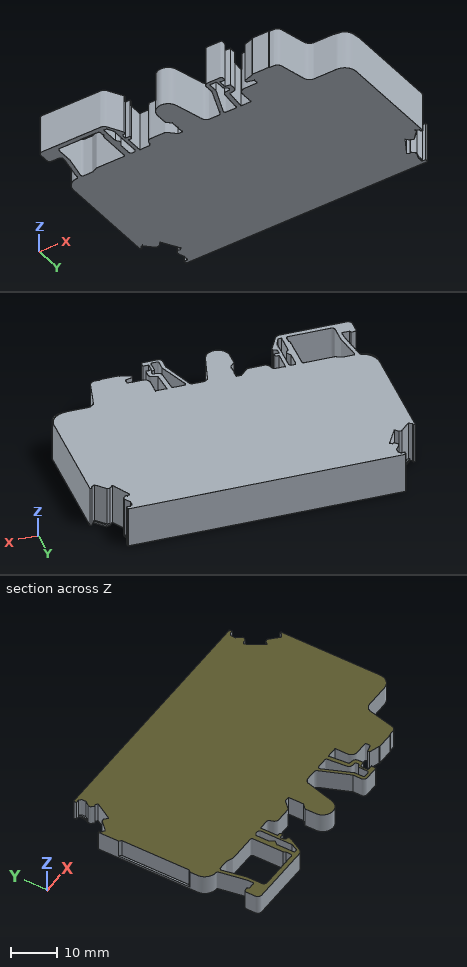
import cadquery as cq
import math

WIDTH = 74.58
HEIGHT = 50.44
THICKNESS = 10.0
HALF_WIDTH = WIDTH / 2

SHOULDER_Y = 12.15
LEFT_ROOF_Y = 11.45
RIGHT_ROOF_Y = 11.05
RAIL_SEAT_Y = 9.5
MIDDLE_FOOT_Y = 0.95
RIGHT_CLIP_Y = 0.25
RIGHT_FOOT_Y = 3.2

LEFT_RAMP_HIGH_X = -30.2
LEFT_RAMP_LOW_X = -28.6
LEFT_RAMP_R = 0.5
STEP_X = -6.0
RIGHT_FOOT_COVER_X = 25.5
BODY_CORNER_R = 3.0
FACE_CORNER_R = 4.0
FACE_SKIN = 0.1
ROOT_OVERLAP = 1.0

MIDDLE_FOOT_LEFT_X = -7.15
MIDDLE_FOOT_TAPER = math.radians(15)
MIDDLE_FOOT_R = 2.75
MIDDLE_FOOT_ROOT_R = 1.3

RIGHT_FOOT_ROOT_X = 26.85
RIGHT_FOOT_ROOT_R = 1.8
SOLE_START_X = 18.0
SOLE_END_X = 22.6
RIGHT_FOOT_PAD = 0.15

SIDE_TOP_Y = 40.65
EAR_HALF_WIDTH = 31.88
EAR_BOTTOM_Y = 49.6
EAR_CHAMFER = 0.2
LIP_HALF_WIDTH = 31.43
LIP_TOP_Y = 46.85

BASE_PLATE = 0.5

MARKER_BOTTOM_Y = 17.05
MARKER_TOP_Y = 35.4
MARKER_MARGIN = 0.62
MARKER_DEPTH = 0.5
MARKER_END_RUN = 0.55

TOE_LEFT_X = -36.12
TOE_TOP_Y = 4.0
TOE_NOTCH_LEFT_X = -34.78
TOE_NOTCH_RIGHT_X = -32.8
TOE_NOTCH_Y = 3.55
TOE_NOTCH_RAMP = 0.2
TOE_FILL_OVERLAP = 0.3
TOE_FILL_HEIGHT = 2.0
TOE_FILL_R = 0.7


SAME_POINT = 1e-6


def rounded_outline(corners):
    """Closed wire through (x, y) or (x, y, radius) corners, rounded where a radius is given."""
    count = len(corners)
    stretches = []
    for i, corner in enumerate(corners):
        point = cq.Vector(corner[0], corner[1])
        radius = corner[2] if len(corner) > 2 else 0
        if not radius:
            stretches.append((point, None, point))
            continue
        before = corners[i - 1]
        after = corners[(i + 1) % count]
        to_before = (cq.Vector(before[0], before[1]) - point).normalized()
        to_after = (cq.Vector(after[0], after[1]) - point).normalized()
        half_angle = to_before.getAngle(to_after) / 2
        tangent_length = radius / math.tan(half_angle)
        middle_distance = radius / math.sin(half_angle) - radius
        middle = point + (to_before + to_after).normalized() * middle_distance
        stretches.append((point + to_before * tangent_length, middle, point + to_after * tangent_length))

    edges = []
    for i, (start, middle, end) in enumerate(stretches):
        if middle is not None:
            edges.append(cq.Edge.makeThreePointArc(start, middle, end))
        next_start = stretches[(i + 1) % count][0]
        if (next_start - end).Length > SAME_POINT:
            edges.append(cq.Edge.makeLine(end, next_start))
    return cq.Wire.assembleEdges(edges)


def prism(corners, height=THICKNESS):
    """Solid standing on Z = 0 with the given rounded outline."""
    return cq.Workplane("XY").add(rounded_outline(corners)).toPending().extrude(height)


def mirrored(corners):
    """The same outline on the other side of X = 0, in reverse order."""
    return [(-corner[0], *corner[1:]) for corner in reversed(corners)]


def make_body():
    """Main plate; its stepped upper corners mirror each other."""
    upper_left = [
        (-HALF_WIDTH, SIDE_TOP_Y),
        (-36.8, SIDE_TOP_Y),
        (-36.75, 40.2),
        (-35.95, 39.7),
        (-33.75, 41.9),
        (-33.05, 41.9),
        (-32.3, 41.1),
        (-29.75, 45.4),
        (-30.35, 45.8),
        (-30.7, 45.55),
        (-LIP_HALF_WIDTH, 46.25, 0.2),
        (-LIP_HALF_WIDTH, LIP_TOP_Y),
        (-30.5, 48.0),
        (-30.5, 49.1, 0.2),
        (-31.0, EAR_BOTTOM_Y),
        (-EAR_HALF_WIDTH, EAR_BOTTOM_Y),
        (-EAR_HALF_WIDTH, HEIGHT - EAR_CHAMFER),
        (-EAR_HALF_WIDTH + EAR_CHAMFER, HEIGHT),
    ]
    underside = [
        (HALF_WIDTH, SHOULDER_Y, BODY_CORNER_R),
        (RIGHT_FOOT_COVER_X, SHOULDER_Y),
        (RIGHT_FOOT_COVER_X, RIGHT_ROOF_Y),
        (STEP_X, RIGHT_ROOF_Y),
        (STEP_X, LEFT_ROOF_Y),
        (-7.15, LEFT_ROOF_Y),
        (-9.1, RAIL_SEAT_Y, 0.3),
        (-13.85, RAIL_SEAT_Y, 1.2),
        (-14.5, LEFT_ROOF_Y, 0.6),
        (LEFT_RAMP_LOW_X, LEFT_ROOF_Y, LEFT_RAMP_R),
        (LEFT_RAMP_HIGH_X, SHOULDER_Y, LEFT_RAMP_R),
        (-HALF_WIDTH, SHOULDER_Y, BODY_CORNER_R),
    ]
    return prism(upper_left + mirrored(upper_left) + underside)


def make_corner_steps():
    """Thin steps that fill the upper corner recesses next to the lower face."""
    step_half_width = 30.9
    inside_half_width = 30.0
    ear_step = [
        (-step_half_width, EAR_BOTTOM_Y),
        (-step_half_width, 48.2),
        (-LIP_HALF_WIDTH, LIP_TOP_Y),
        (-inside_half_width, LIP_TOP_Y),
        (-inside_half_width, EAR_BOTTOM_Y),
    ]
    slope_step = [(-36.25, 39.95), (-34.0, 42.2), (-33.1, 41.9), (-33.5, 41.2), (-35.95, 39.7)]
    steps = cq.Workplane("XY")
    for step in (ear_step, slope_step):
        for outline in (step, mirrored(step)):
            steps = steps.add(prism(outline, BASE_PLATE))
    return steps.combine()


def make_face_corner_cuts():
    """Slivers that give the top face its rounder lower corners, one skin deep."""
    arc_inset = FACE_CORNER_R * (1 - math.sqrt(0.5))
    cuts = cq.Workplane("XY")
    for side in (-1, 1):
        edge_x = side * HALF_WIDTH
        sliver = (
            cq.Workplane("XY", origin=(0, 0, THICKNESS - FACE_SKIN))
            .moveTo(edge_x, SHOULDER_Y)
            .lineTo(edge_x, SHOULDER_Y + FACE_CORNER_R)
            .threePointArc(
                (edge_x - side * arc_inset, SHOULDER_Y + arc_inset),
                (edge_x - side * FACE_CORNER_R, SHOULDER_Y),
            )
            .close()
            .extrude(FACE_SKIN)
        )
        cuts = cuts.add(sliver)
    return cuts.combine()


def make_marker_recess():
    """Shallow tapered pocket in the left side, open toward -X."""
    outline = [
        (-HALF_WIDTH, MARKER_BOTTOM_Y),
        (-HALF_WIDTH + MARKER_DEPTH, MARKER_BOTTOM_Y + MARKER_END_RUN),
        (-HALF_WIDTH + MARKER_DEPTH, MARKER_TOP_Y - MARKER_END_RUN),
        (-HALF_WIDTH, MARKER_TOP_Y),
    ]
    return prism(outline, THICKNESS - 2 * MARKER_MARGIN).translate((0, 0, MARKER_MARGIN))


def make_left_clip():
    """Left clip with its toe, and separately the two openings through it."""
    slit_left_x = -19.75
    slit_right_x = -18.15
    spring_right_x = -17.25
    nose_x = -16.3
    nose_bottom_y = 6.3
    nose_top_y = 7.2
    catch_x = -17.5
    window_left_x = -31.85
    window_right_x = -20.85
    window_bottom_y = 1.2
    slit_bottom_y = 1.3
    root_y = SHOULDER_Y + ROOT_OVERLAP
    flare_start_x = -HALF_WIDTH + BODY_CORNER_R
    frame = prism([
        (flare_start_x, root_y),
        (flare_start_x, SHOULDER_Y),
        (-34.05, SHOULDER_Y, 0.28),
        (TOE_NOTCH_RIGHT_X, 5.1),
        (TOE_NOTCH_RIGHT_X, TOE_NOTCH_Y),
        (TOE_NOTCH_LEFT_X + TOE_NOTCH_RAMP, TOE_NOTCH_Y),
        (TOE_NOTCH_LEFT_X, TOE_TOP_Y),
        (TOE_LEFT_X, TOE_TOP_Y, 0.7),
        (TOE_LEFT_X, 0, 1.0),
        (-18.9, 0, 1.45),
        (-16.5, 4.3),
        (-16.55, 4.9),
        (catch_x, 5.1, 0.4),
        (catch_x, nose_bottom_y),
        (nose_x, nose_bottom_y),
        (nose_x, nose_top_y, 0.5),
        (spring_right_x, nose_top_y),
        (spring_right_x, root_y),
    ])
    window = prism([
        (-33.1, SHOULDER_Y, 0.5),
        (LEFT_RAMP_HIGH_X, SHOULDER_Y, LEFT_RAMP_R),
        (LEFT_RAMP_LOW_X, LEFT_ROOF_Y, LEFT_RAMP_R),
        (-21.15, LEFT_ROOF_Y, 0.4),
        (-21.1, 3.3),
        (window_right_x, 2.8),
        (window_right_x, window_bottom_y, 0.4),
        (window_left_x, window_bottom_y, 0.8),
        (window_left_x, 5.9),
    ])
    slit = prism([
        (slit_left_x, LEFT_ROOF_Y, 0.7),
        (slit_right_x, LEFT_ROOF_Y, 0.7),
        (slit_right_x, 2.9),
        (-18.95, slit_bottom_y),
        (slit_left_x, slit_bottom_y),
        (slit_left_x, 5.7),
        (-18.95, 6.75, 0.4),
        (slit_left_x, 7.8),
    ])
    leg_inside_x = TOE_NOTCH_RIGHT_X + TOE_FILL_OVERLAP
    toe_fill = prism([
        (TOE_NOTCH_LEFT_X, TOE_NOTCH_Y),
        (leg_inside_x, TOE_NOTCH_Y),
        (leg_inside_x, TOE_TOP_Y + TOE_FILL_R),
        (TOE_NOTCH_RIGHT_X, TOE_TOP_Y + TOE_FILL_R),
        (TOE_NOTCH_RIGHT_X, TOE_TOP_Y, TOE_FILL_R),
        (TOE_NOTCH_LEFT_X, TOE_TOP_Y),
    ], TOE_FILL_HEIGHT)
    return frame.union(toe_fill), window.union(slit)


def make_middle_foot():
    """Foot with one upright and one slanted side and a round tip."""
    root_y = LEFT_ROOF_Y + ROOT_OVERLAP
    half_angle = MIDDLE_FOOT_TAPER / 2
    apex_y = MIDDLE_FOOT_Y + MIDDLE_FOOT_R - MIDDLE_FOOT_R / math.tan(half_angle)
    right_root_x = MIDDLE_FOOT_LEFT_X + (RIGHT_ROOF_Y - apex_y) * math.tan(MIDDLE_FOOT_TAPER)
    flare_end_x = right_root_x + MIDDLE_FOOT_ROOT_R
    return prism([
        (STEP_X, root_y),
        (STEP_X, 7.65),
        (MIDDLE_FOOT_LEFT_X, 6.55),
        (MIDDLE_FOOT_LEFT_X, apex_y, MIDDLE_FOOT_R),
        (right_root_x, RIGHT_ROOF_Y, MIDDLE_FOOT_ROOT_R),
        (flare_end_x, RIGHT_ROOF_Y),
        (flare_end_x, root_y),
    ])


def make_right_clip():
    """Right spring clip, and separately the opening through it."""
    heel_x = 7.4
    tip_x = 12.1
    jaw_x = 10.75
    jaw_bottom_y = 1.55
    spring_right_x = 9.75
    flare_start_x = 3.4
    window_bottom_y = 1.05
    root_y = RIGHT_ROOF_Y + ROOT_OVERLAP
    frame = prism([
        (flare_start_x, root_y),
        (flare_start_x, RIGHT_ROOF_Y),
        (4.3, RIGHT_ROOF_Y, 0.75),
        (heel_x, 3.3),
        (heel_x, RIGHT_CLIP_Y, 0.9),
        (tip_x, RIGHT_CLIP_Y, 0.3),
        (tip_x, jaw_bottom_y),
        (jaw_x, jaw_bottom_y),
        (jaw_x, 3.4),
        (tip_x, 3.55),
        (tip_x, 5.7, 0.9),
        (10.2, 6.1),
        (spring_right_x, RIGHT_ROOF_Y),
        (spring_right_x, root_y),
    ])
    window = prism([
        (5.2, RIGHT_ROOF_Y, 0.4),
        (8.6, RIGHT_ROOF_Y, 0.3),
        (9.15, 5.1, 0.9),
        (11.0, 5.0, 0.2),
        (11.0, 4.1, 0.3),
        (10.15, 3.7),
        (10.15, window_bottom_y, 0.4),
        (8.35, window_bottom_y, 0.3),
        (8.35, 3.5),
    ])
    return frame, window


def make_right_foot():
    """Broad foot with a pointed hook on its left and a slightly raised sole."""
    flare_end_x = RIGHT_FOOT_ROOT_X + RIGHT_FOOT_ROOT_R
    root_y = SHOULDER_Y + ROOT_OVERLAP
    return prism([
        (12.4, root_y),
        (12.4, 6.35, 1.5),
        (17.3, 6.35, 0.2),
        (17.3, 5.2),
        (15.5, 4.75),
        (15.5, 4.15),
        (SOLE_START_X, RIGHT_FOOT_Y + RIGHT_FOOT_PAD),
        (SOLE_START_X + RIGHT_FOOT_PAD, RIGHT_FOOT_Y),
        (SOLE_END_X - RIGHT_FOOT_PAD, RIGHT_FOOT_Y),
        (SOLE_END_X, RIGHT_FOOT_Y + RIGHT_FOOT_PAD),
        (24.8, RIGHT_FOOT_Y + RIGHT_FOOT_PAD, 1.35),
        (RIGHT_FOOT_ROOT_X, SHOULDER_Y, RIGHT_FOOT_ROOT_R),
        (flare_end_x, SHOULDER_Y),
        (flare_end_x, root_y),
    ])


left_clip, left_openings = make_left_clip()
right_clip, right_opening = make_right_clip()

result = make_body().cut(make_face_corner_cuts()).union(make_corner_steps())
for foot in (left_clip, make_middle_foot(), right_clip, make_right_foot()):
    result = result.union(foot)
for opening in (left_openings, right_opening, make_marker_recess()):
    result = result.cut(opening)